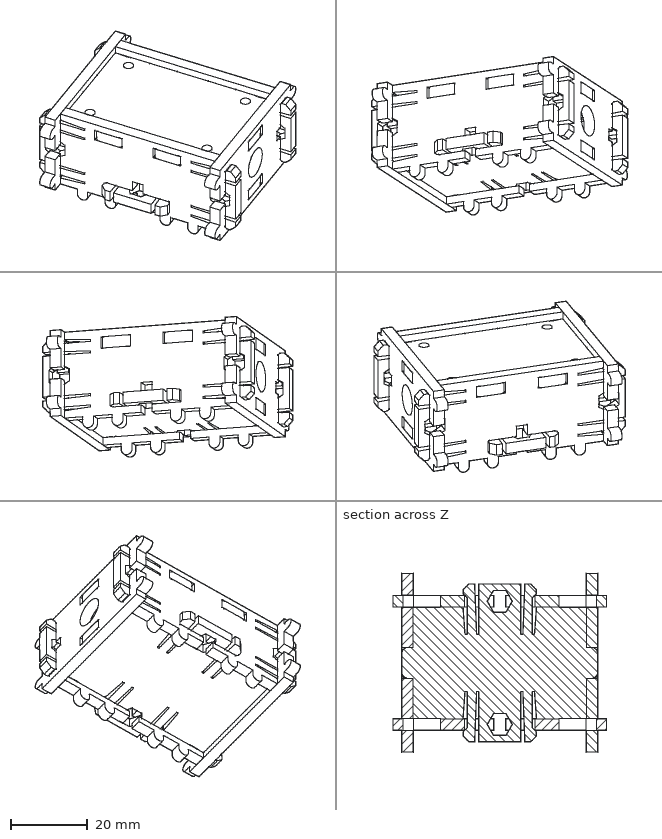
import cadquery as cq
import math

length = 57.0
width = 47.0
height = 26.0
thickness = 3.0

panel_height = height - thickness
end_panel_width = width - 2 * thickness
wall_length = length - 4 * thickness
end_center = (wall_length + thickness) / 2
wall_center = 16.0
deck_width = 2 * wall_center - thickness
deck_center = 8.0

snap_half = 9.5
middle_half = 5.5
slit_mouth = 1.0
slit_root = 0.5
slit_depth = 7.0
hook_bevel = 1.5
catch = 0.4
snap_reach = 2 * thickness
snap_slot_length = 2 * (snap_half - catch)
nut_across_flats = 5.6
bolt_notch_depth = 8.0

tongue_width = 8.0
round_radius = thickness / 2
wall_tongue_x = 8.5
foot_places = (8.0, 16.0)

cable_hole_diameter = 8.0
screw_hole_diameter = 2.6
screw_hole_x = 17.0
screw_hole_y = 11.2


def plate(size_x, size_y, x=0.0, y=0.0):
    return cq.Workplane("XY").box(size_x, size_y, thickness).translate((x, y, 0))


def prism(outline):
    return outline.close().extrude(thickness / 2, both=True)


def disc(diameter, x=0.0, y=0.0):
    return cq.Workplane("XY").center(x, y).circle(diameter / 2).extrude(thickness / 2, both=True)


def on_edge(piece, direction, x, y):
    return piece.rotate((0, 0, 0), (0, 0, 1), direction).translate((x, y, 0))


def round_foot():
    shank = thickness - round_radius
    outline = (
        cq.Workplane("XY")
        .moveTo(0, -round_radius)
        .lineTo(shank, -round_radius)
        .threePointArc((thickness, 0), (shank, round_radius))
        .lineTo(0, round_radius)
    )
    return prism(outline)


def tongue():
    blank = plate(thickness, tongue_width, x=thickness / 2)
    return blank.edges("|Z and >X").fillet(round_radius)


def mirrored_pair(piece):
    return piece.union(piece.mirror("XZ"))


def hook():
    ramp_start = thickness + catch
    beam_side = snap_half - slit_mouth
    outline = cq.Workplane("XY").polyline([
        (-slit_depth, middle_half + slit_root),
        (snap_reach, middle_half + slit_mouth),
        (snap_reach, snap_half - hook_bevel),
        (snap_reach - hook_bevel, snap_half),
        (ramp_start, snap_half),
        (ramp_start - slit_mouth, beam_side),
        (-slit_depth, beam_side),
    ])
    return prism(outline)


def spring_clearance():
    outline = cq.Workplane("XY").polyline([
        (-slit_depth, middle_half),
        (0, middle_half),
        (0, snap_half),
        (-slit_depth, snap_half - slit_mouth + slit_root),
    ])
    return prism(outline)


def nut_pocket():
    across_corners = nut_across_flats / math.cos(math.pi / 6)
    hexagon = cq.Workplane("XY").polygon(6, across_corners).extrude(thickness / 2, both=True)
    return hexagon.rotate((0, 0, 0), (0, 0, 1), 30).translate((thickness / 2, 0, 0))


def add_snap_tab(panel, direction, x, y):
    middle_tab = plate(snap_reach, 2 * middle_half, x=snap_reach / 2)
    panel = panel.cut(on_edge(mirrored_pair(spring_clearance()), direction, x, y))
    panel = panel.union(on_edge(middle_tab, direction, x, y))
    panel = panel.union(on_edge(mirrored_pair(hook()), direction, x, y))
    return panel.cut(on_edge(nut_pocket(), direction, x, y))


def end_panel():
    panel = plate(end_panel_width, panel_height)
    for side, direction in ((1, 0), (-1, 180)):
        edge = side * end_panel_width / 2
        for level in (-deck_center, deck_center):
            panel = panel.union(on_edge(round_foot(), direction, edge, level))
        panel = panel.cut(plate(thickness, snap_slot_length, x=side * wall_center))
        panel = panel.cut(plate(bolt_notch_depth, thickness, x=edge - side * bolt_notch_depth / 2))
    for level in (-deck_center, deck_center):
        panel = panel.cut(plate(tongue_width, thickness, y=level))
    panel = panel.cut(disc(cable_hole_diameter))
    return panel.rotate((0, 0, 0), (1, 0, 0), 90).rotate((0, 0, 0), (0, 0, 1), 90)


def wall_panel():
    bottom = -panel_height / 2
    panel = plate(wall_length, panel_height)
    for side, direction in ((1, 0), (-1, 180)):
        panel = add_snap_tab(panel, direction, side * wall_length / 2, 0)
        panel = panel.cut(plate(tongue_width, thickness, x=side * wall_tongue_x, y=deck_center))
        for place in foot_places:
            panel = panel.union(on_edge(round_foot(), -90, side * place, bottom))
    panel = panel.cut(plate(snap_slot_length, thickness, y=-deck_center))
    panel = panel.cut(plate(thickness, bolt_notch_depth, y=bottom + bolt_notch_depth / 2))
    return panel.rotate((0, 0, 0), (1, 0, 0), 90)


def deck_with_end_tongues():
    deck = plate(wall_length, deck_width)
    for side, direction in ((1, 0), (-1, 180)):
        deck = deck.union(on_edge(tongue(), direction, side * wall_length / 2, 0))
    return deck


def lid_panel():
    lid = deck_with_end_tongues()
    for side, direction in ((1, 90), (-1, -90)):
        for end in (-1, 1):
            lid = lid.union(on_edge(tongue(), direction, end * wall_tongue_x, side * deck_width / 2))
            lid = lid.cut(disc(screw_hole_diameter, end * screw_hole_x, side * screw_hole_y))
    return lid


def floor_panel():
    floor = deck_with_end_tongues()
    for side, direction in ((1, 90), (-1, -90)):
        floor = add_snap_tab(floor, direction, 0, side * deck_width / 2)
    return floor


end_panels = [end_panel().translate((x, 0, 0)) for x in (-end_center, end_center)]
wall_panels = [wall_panel().translate((0, y, 0)) for y in (-wall_center, wall_center)]
lid = lid_panel().translate((0, 0, deck_center))
floor = floor_panel().translate((0, 0, -deck_center))

result = cq.Compound.makeCompound([
    *[panel.solids().val() for panel in end_panels],
    *[panel.solids().val() for panel in wall_panels],
    lid.solids().val(),
    floor.solids().val(),
])